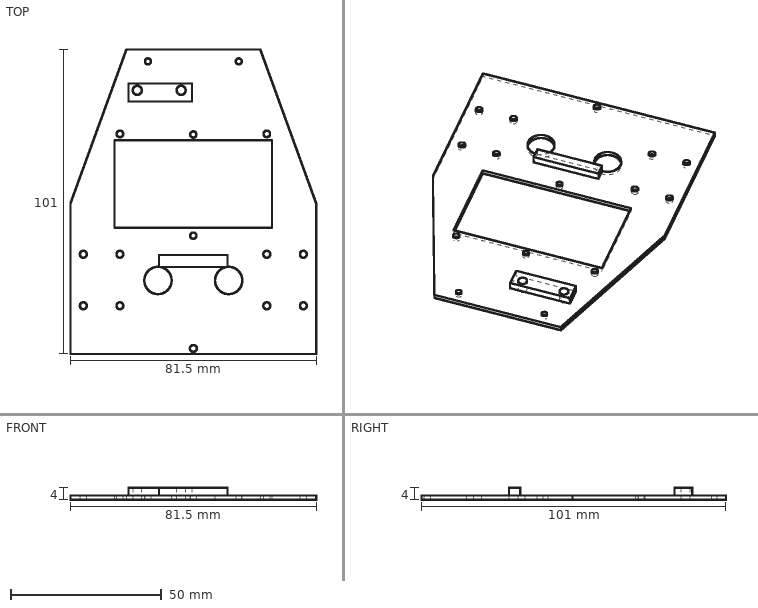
import cadquery as cq

plate_width = 81.5
plate_length = 101.0
plate_thickness = 1.5
top_edge_width = 44.4
shoulder_y = 50.0

window_width = 52.1
window_length = 29.0
window_bottom_y = 41.9

overall_height = 4.0
bar_height = overall_height - plate_thickness
upper_bar_left_x = -21.5
upper_bar_width = 21.0
upper_bar_length = 6.0
upper_bar_bottom_y = 83.8
lower_bar_width = 22.7
lower_bar_length = 3.8
lower_bar_bottom_y = 29.0

bar_hole_diameter = 2.9
bar_hole_xs = (-18.6, -4.0)
bar_hole_y = 87.5

opening_diameter = 9.0
opening_x = 11.7
opening_y = 24.4

top_hole_diameter = 1.9
top_hole_x = 15.0
top_hole_y = 97.1
window_hole_diameter = 2.0
window_hole_ys = (39.3, 72.8)
row_hole_diameter = 2.1
row_hole_y = 73.0
grid_hole_diameter = 2.2
grid_inner_x = 24.3
grid_outer_x = 36.5
grid_ys = (16.1, 33.1)
bottom_hole_diameter = 2.2
bottom_hole_y = 1.9


def mirrored(x, y):
    """Return a pair of points symmetric about the plate's centreline."""
    return [(-x, y), (x, y)]


def block(left_x, bottom_y, base_z, width, length, height):
    """Return a box placed by its lower left corner."""
    return cq.Workplane("XY").box(width, length, height, centered=False).translate((left_x, bottom_y, base_z))


def hole_cutters(points, diameter):
    """Return cylinders that pass through the full height of the part."""
    return cq.Workplane("XY").pushPoints(points).circle(diameter / 2).extrude(overall_height)


plate = (
    cq.Workplane("XY")
    .polyline([
        (-plate_width / 2, 0),
        (plate_width / 2, 0),
        (plate_width / 2, shoulder_y),
        (top_edge_width / 2, plate_length),
        (-top_edge_width / 2, plate_length),
        (-plate_width / 2, shoulder_y),
    ])
    .close()
    .extrude(plate_thickness)
)
window = block(-window_width / 2, window_bottom_y, 0, window_width, window_length, plate_thickness)

upper_bar = block(
    upper_bar_left_x, upper_bar_bottom_y, plate_thickness, upper_bar_width, upper_bar_length, bar_height
)
lower_bar = block(
    -lower_bar_width / 2, lower_bar_bottom_y, plate_thickness, lower_bar_width, lower_bar_length, bar_height
)
result = plate.cut(window).union(upper_bar).union(lower_bar)

grid_points = [point for x in (grid_inner_x, grid_outer_x) for y in grid_ys for point in mirrored(x, y)]
hole_groups = [
    ([(x, bar_hole_y) for x in bar_hole_xs], bar_hole_diameter),
    (mirrored(opening_x, opening_y), opening_diameter),
    (mirrored(top_hole_x, top_hole_y), top_hole_diameter),
    ([(0, y) for y in window_hole_ys], window_hole_diameter),
    (mirrored(grid_inner_x, row_hole_y), row_hole_diameter),
    (grid_points, grid_hole_diameter),
    ([(0, bottom_hole_y)], bottom_hole_diameter),
]
for points, diameter in hole_groups:
    result = result.cut(hole_cutters(points, diameter))